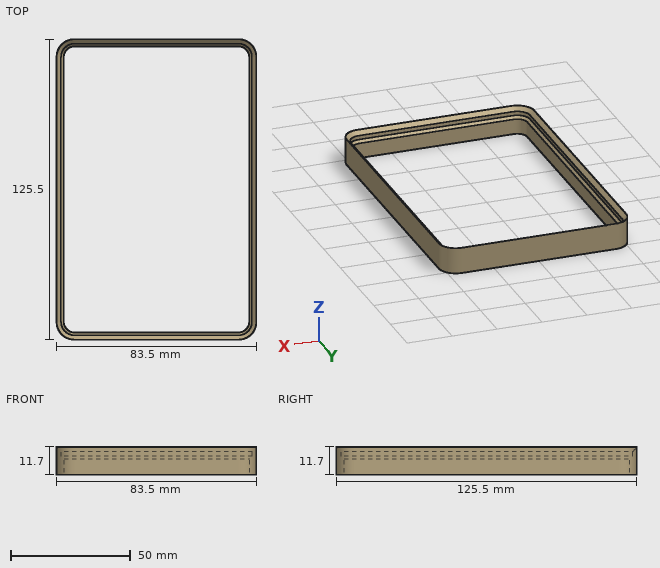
import cadquery as cq
import math

length_x = 83.5
length_y = 125.5
height = 11.7
corner_radius = 7.5

lip_width = 1.9
ledge_width = 1.2
step_height = 1.8
slope_angle = 45.0

slope = math.tan(math.radians(slope_angle))
wall_thickness = lip_width + ledge_width
step_top = height - lip_width * slope
step_bottom = step_top - step_height
inner_wall_top = step_bottom - ledge_width * slope


def rounded_outline(z, inset):
    """Rounded rectangle at height z, offset inward from the outer outline."""
    return (
        cq.Sketch()
        .rect(length_x - 2 * inset, length_y - 2 * inset)
        .vertices()
        .fillet(corner_radius - inset)
        .moved(cq.Location(cq.Vector(0, 0, z)))
    )


def straight_block(z_bottom, z_top, inset):
    """Vertical-sided block following the inset outline."""
    return cq.Workplane("XY").placeSketch(rounded_outline(z_bottom, inset)).extrude(z_top - z_bottom)


def flared_block(z_bottom, z_top, inset_bottom, inset_top):
    """Block whose sides slope from one inset outline to another."""
    return (
        cq.Workplane("XY")
        .placeSketch(rounded_outline(z_bottom, inset_bottom), rounded_outline(z_top, inset_top))
        .loft()
    )


def make_opening():
    """Through opening with the two sloped faces and the step between them."""
    inner_wall = straight_block(0, inner_wall_top, wall_thickness)
    ledge = flared_block(inner_wall_top, step_bottom, wall_thickness, lip_width)
    step = straight_block(step_bottom, step_top, lip_width)
    lip = flared_block(step_top, height, lip_width, 0)
    return inner_wall.union(ledge).union(step).union(lip)


result = straight_block(0, height, 0).cut(make_opening())